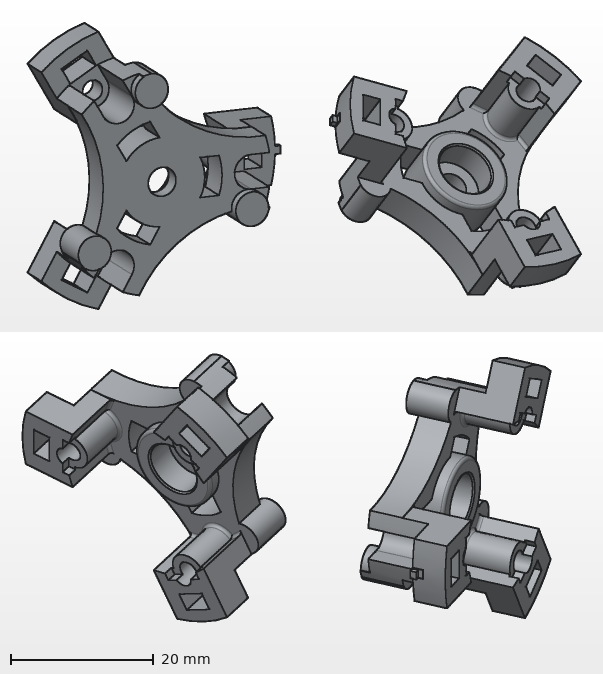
import cadquery as cq
import math


OVERALL_HEIGHT = 40.35
ARM_COUNT = 3
ARM_SPACING = 360.0 / ARM_COUNT

TIP_FRONT = 0.0
TIP_BACK = 5.0
HUB_FRONT = 7.0
PLATE_FRONT = 9.0
PLATE_BACK = 14.0
FOOT_BACK = 15.5
BOSS_FRONT = 1.5
BORE_FLOOR = 11.4

HUB_RADIUS = 6.5
HUB_ROUND = 0.5
BORE_RADIUS = 4.0
BORE_CHAMFER = 0.25
AXLE_HOLE_RADIUS = 2.1

PLATE_RADIUS = 16.5
WAIST_DISTANCE = 8.95
WAIST_RADIUS = 20.5
WINDOW_RADIUS = 9.1
WINDOW_WIDTH = 5.8

ARM_HALF_WIDTH = 5.0
ARM_INNER_RADIUS = 12.25
ARM_TILT = math.radians(ARM_SPACING - 90)
TIP_CORNER = (OVERALL_HEIGHT / 2 - ARM_HALF_WIDTH * math.sin(ARM_TILT)) / math.cos(ARM_TILT)
TIP_RADIUS = math.hypot(TIP_CORNER, ARM_HALF_WIDTH)
BASE_ROUND = 0.5

SCREW_POSITION = 13.5
SCREW_HOLE_RADIUS = 1.5
BOSS_RADIUS = 2.75
WALL_END_RADIUS = 13.0
WALL_END_OFFSET = 2.65
GROOVE_RADIUS = 2.5
RECESS_OUTER = 14.0
RECESS_WIDTH = 6.15

OPENING_INNER = 16.35
OPENING_OUTER = 19.0
OPENING_WIDTH = 4.5

FOOT_POSITION = 13.07
FOOT_RADIUS = GROOVE_RADIUS
FOOT_SHOULDER_WIDTH = FOOT_RADIUS / 2

PIN_END = 21.83
PIN_WIDTH = 1.15
PIN_FRONT = 4.08
PIN_PAD_FRONT = 3.4
PIN_PAD_WIDTH = 1.4
PIN_PAD_HEIGHT = 0.1


def level(x):
    """Workplane facing +X at the given level; its local axes are Y and Z."""
    return cq.Workplane("YZ", origin=(x, 0, 0))


def disc(radius, front, back, y=0.0, z=0.0):
    return level(front).center(y, z).circle(radius).extrude(back - front)


def block(y_low, y_high, width, front, back):
    middle = (y_low + y_high) / 2
    return level(front).center(middle, 0).rect(y_high - y_low, width).extrude(back - front)


def around(shape):
    """One copy of the shape for every arm."""
    copies = shape
    for index in range(1, ARM_COUNT):
        copies = copies.union(shape.rotate((0, 0, 0), (1, 0, 0), index * ARM_SPACING))
    return copies


def make_plate():
    plate = disc(PLATE_RADIUS, PLATE_FRONT, PLATE_BACK)
    waist = disc(WAIST_RADIUS, PLATE_FRONT, PLATE_BACK, y=-(WAIST_DISTANCE + WAIST_RADIUS))
    window = disc(WINDOW_RADIUS, PLATE_FRONT, PLATE_BACK).intersect(
        block(0, WINDOW_RADIUS, WINDOW_WIDTH, PLATE_FRONT, PLATE_BACK)
    )
    return plate.cut(around(waist)).cut(around(window))


def make_arm():
    corner = (TIP_CORNER, ARM_HALF_WIDTH)
    arm = (
        level(TIP_FRONT)
        .moveTo(ARM_INNER_RADIUS, -ARM_HALF_WIDTH)
        .lineTo(TIP_CORNER, -ARM_HALF_WIDTH)
        .threePointArc((TIP_RADIUS, 0), corner)
        .lineTo(ARM_INNER_RADIUS, ARM_HALF_WIDTH)
        .lineTo(WALL_END_RADIUS, WALL_END_OFFSET)
        .lineTo(WALL_END_RADIUS, -WALL_END_OFFSET)
        .close()
        .extrude(PLATE_BACK)
    )
    outer_layer = disc(TIP_RADIUS, TIP_BACK, PLATE_BACK)
    beyond_plate = outer_layer.cut(disc(PLATE_RADIUS, TIP_BACK, PLATE_BACK))
    recess = block(0, RECESS_OUTER, RECESS_WIDTH, TIP_FRONT, BOSS_FRONT)
    boss = disc(BOSS_RADIUS, BOSS_FRONT, PLATE_BACK, y=SCREW_POSITION)
    return arm.cut(beyond_plate).cut(recess).union(boss)


def round_arm_bases(body):
    """Fillet the inner walls and bosses of the arms where they rise from the plate."""
    boss_inner_side = SCREW_POSITION - BOSS_RADIUS
    base_edges = cq.selectors.BoxSelector(
        (PLATE_FRONT - BASE_ROUND, boss_inner_side - BASE_ROUND, -ARM_HALF_WIDTH),
        (PLATE_FRONT + BASE_ROUND, SCREW_POSITION, ARM_HALF_WIDTH),
    )
    for index in range(ARM_COUNT):
        turn = index * ARM_SPACING
        turned = body.rotate((0, 0, 0), (1, 0, 0), turn)
        body = turned.edges(base_edges).fillet(BASE_ROUND).rotate((0, 0, 0), (1, 0, 0), -turn)
    return body


def make_arm_openings():
    hole = disc(SCREW_HOLE_RADIUS, TIP_FRONT, PLATE_BACK, y=SCREW_POSITION)
    groove = disc(GROOVE_RADIUS, TIP_BACK, PLATE_BACK, y=SCREW_POSITION).union(
        block(SCREW_POSITION, PLATE_RADIUS, 2 * GROOVE_RADIUS, TIP_BACK, PLATE_BACK)
    )
    opening = block(OPENING_INNER, OPENING_OUTER, OPENING_WIDTH, TIP_FRONT, TIP_BACK)
    return hole.union(groove).union(opening)


def make_hub():
    hub = disc(HUB_RADIUS, HUB_FRONT, PLATE_BACK).faces("<X").edges().fillet(HUB_ROUND)
    bore = disc(BORE_RADIUS, HUB_FRONT, BORE_FLOOR)
    axle_hole = disc(AXLE_HOLE_RADIUS, HUB_FRONT, PLATE_BACK)
    smallest_circle = cq.selectors.RadiusNthSelector(0)
    return hub.cut(bore).cut(axle_hole).faces("<X").edges(smallest_circle).chamfer(BORE_CHAMFER)


def make_foot():
    """Round foot with a shoulder beside the arm that reaches out to the plate's rim."""
    foot = disc(FOOT_RADIUS, PLATE_FRONT, FOOT_BACK, y=FOOT_POSITION, z=-ARM_HALF_WIDTH)
    shoulder = block(FOOT_POSITION, PLATE_RADIUS, FOOT_SHOULDER_WIDTH, PLATE_FRONT, FOOT_BACK)
    shoulder = shoulder.translate((0, 0, -ARM_HALF_WIDTH - FOOT_SHOULDER_WIDTH / 2))
    return foot.union(shoulder.intersect(disc(PLATE_RADIUS, PLATE_FRONT, FOOT_BACK)))


def make_pin():
    """Square pin on a shallow pad at the end of the first arm."""
    pin = block(OPENING_OUTER, PIN_END, PIN_WIDTH, PIN_FRONT, TIP_BACK)
    pad_top = TIP_RADIUS + PIN_PAD_HEIGHT
    pad = block(OPENING_OUTER, pad_top, PIN_PAD_WIDTH, PIN_PAD_FRONT, TIP_BACK)
    return pin.union(pad)


body = make_plate().cut(disc(HUB_RADIUS, PLATE_FRONT, PLATE_BACK)).union(make_hub())
body = round_arm_bases(body.union(around(make_arm())))
result = body.union(around(make_foot())).cut(around(make_arm_openings())).union(make_pin())